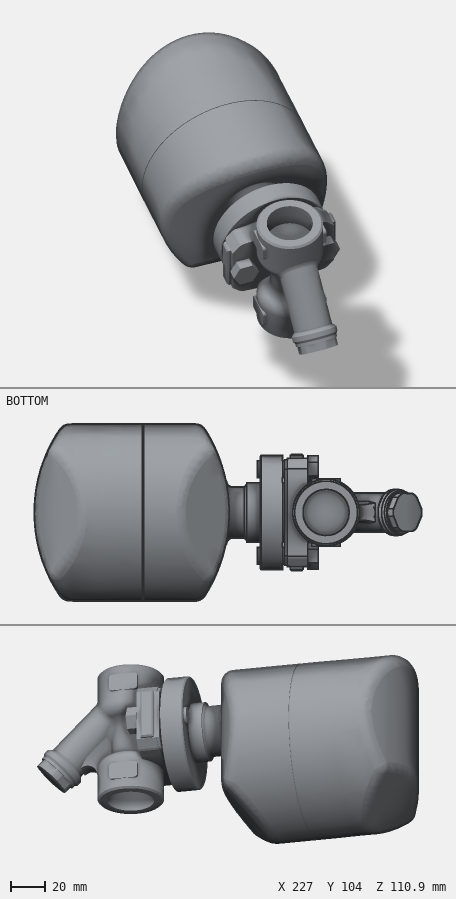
import cadquery as cq
import math


overall_length = 227.0

housing_length = 114.2
housing_radius = 52.0
housing_rear_radius = 51.8
housing_seam_x = 50.9
housing_drop = 19.0
rear_face_radius = 86.3
front_face_radius = 90.8
housing_chamfer = 27.7
housing_fillet = 7.7
groove_x = 63.3
groove_width = 0.7
groove_depth = 0.5

neck_radius = 30.0 / 2
neck_flare = 3.6
neck_start = 116.3
collar_radius = 35.0 / 2
collar_start = 124.5
collar_step = 1.4

flange_radius = 67.0 / 2
flange_start = 132.4
flange_end = 145.5
flange_chamfer = 0.7
bolt_radius = 10.0 / 2
bolt_spacing = 50.9
bolt_protrusion = 1.5
nut_across_flats = 13.6
nut_height = 6.1

plate_start = 148.3
plate_end = 160.3
gasket_thickness = 1.5
gasket_inset = 0.8
plate_ridge_height = 22.5
plate_shoulder_y = 25.7
plate_shoulder_z = 20.2
plate_bevel_y = 27.0
plate_bevel_z = 19.5
plate_side_y = 31.8
plate_side_z = 15.0
side_pad_width = 7.7
side_pad_height = 29.5
side_pad_chamfer = 1.0
side_pad_reach = 34.0
side_pad_start = 149.9

valve_x = 171.0
valve_radius = 39.0 / 2
valve_height = 79.7
valve_chamfer = 1.1
bore_radius = 27.0 / 2
bore_depth = 14.8
waist_radius = 23.0 / 2
waist_center_z = -2.0
waist_half_height = 6.5
shoulder_half_height = 18.8
shoulder_split = 0.55

pad_width = 16.8
pad_height = 10.2
pad_z = 28.4
pad_reach = 19.87
pad_corner = 1.8

branch_angle = 45.0
branch_z = 26.8
branch_radius = 23.0 / 2
bead_radius = 27.0 / 2
washer_radius = 25.0 / 2
bead_start = 54.5
bead_cone_end = 56.5
bead_end = 59.5
washer_start = 60.9
cap_start = 62.7
cap_radius = 11.8
cap_across_flats = 22.3
branch_fillet = 3.5
branch_tilt = math.radians(branch_angle)
branch_length = (overall_length - valve_x - cap_radius * math.sin(branch_tilt)) / math.cos(branch_tilt)

web_half_width = 4.5
web_root_half_width = 10.0
web_flare_depth = 16.3
web_depth = 31.8
crook_radius = 5.5


def cylinder_x(start, end, radius, y=0.0, z=0.0):
    return cq.Workplane("YZ", origin=(start, y, z)).circle(radius).extrude(end - start)


def hexagon_x(start, end, across_flats, y=0.0):
    """Hexagonal bar along X with two corners pointing along Y."""
    across_corners = across_flats / math.cos(math.pi / 6)
    return cq.Workplane("YZ", origin=(start, y, 0)).polygon(6, across_corners).extrude(end - start)


def make_housing():
    side_y = housing_radius + 2.3
    rear_x = rear_face_radius - math.sqrt(rear_face_radius**2 - side_y**2)
    front_sag = front_face_radius - math.sqrt(front_face_radius**2 - side_y**2)
    front_x = housing_length - front_sag
    plan = (
        cq.Workplane("XY", origin=(0, 0, -housing_drop - side_y))
        .moveTo(rear_x, -side_y)
        .lineTo(front_x, -side_y)
        .threePointArc((housing_length, 0), (front_x, side_y))
        .lineTo(rear_x, side_y)
        .threePointArc((0, 0), (rear_x, -side_y))
        .close()
        .extrude(2 * side_y)
    )
    barrel = (
        cq.Workplane("XY")
        .lineTo(0, housing_rear_radius)
        .lineTo(housing_seam_x, housing_radius)
        .lineTo(housing_length, housing_radius)
        .lineTo(housing_length, 0)
        .close()
        .revolve(360, (0, 0, 0), (1, 0, 0))
        .translate((0, 0, -housing_drop))
    )
    housing = barrel.intersect(plan)

    bottom_z = -housing_drop - housing_radius
    for end_x, inward in ((0, 1), (housing_length, -1)):
        wedge = (
            cq.Workplane("XZ")
            .moveTo(end_x, bottom_z + housing_chamfer)
            .lineTo(end_x + inward * housing_chamfer, bottom_z)
            .lineTo(end_x, bottom_z)
            .close()
            .extrude(side_y, both=True)
        )
        housing = housing.cut(wedge)
    housing = housing.edges("not(%CIRCLE or %LINE)").fillet(housing_fillet)

    groove_end = groove_x + groove_width
    groove = cylinder_x(groove_x, groove_end, housing_radius + 2.3, z=-housing_drop).cut(
        cylinder_x(groove_x, groove_end, housing_radius - groove_depth, z=-housing_drop)
    )
    return housing.cut(groove)


def make_stem():
    flare_start = neck_start - neck_flare
    arc_offset = neck_flare * (1 - math.sqrt(0.5))
    inside_x = housing_length / 2
    return (
        cq.Workplane("XY")
        .moveTo(inside_x, 0)
        .lineTo(inside_x, neck_radius + neck_flare)
        .lineTo(flare_start, neck_radius + neck_flare)
        .threePointArc((flare_start + arc_offset, neck_radius + arc_offset), (neck_start, neck_radius))
        .lineTo(collar_start - collar_step, neck_radius)
        .lineTo(collar_start, neck_radius + collar_step)
        .lineTo(collar_start, collar_radius)
        .lineTo(plate_start, collar_radius)
        .lineTo(plate_start, 0)
        .close()
        .revolve(360, (0, 0, 0), (1, 0, 0))
    )


def make_flange():
    flange = cylinder_x(flange_start, flange_end, flange_radius).edges("<X").chamfer(flange_chamfer)
    for y in (-bolt_spacing / 2, bolt_spacing / 2):
        bolt = cylinder_x(flange_start - bolt_protrusion, plate_end, bolt_radius, y=y)
        nut = hexagon_x(plate_end, plate_end + nut_height, nut_across_flats, y=y)
        flange = flange.union(bolt).union(nut)
    return flange


def make_clamp_plate():
    upper_right = [
        (plate_shoulder_y, plate_shoulder_z),
        (plate_bevel_y, plate_bevel_z),
        (plate_side_y, plate_side_z),
    ]
    upper_left = [(-y, z) for y, z in reversed(upper_right)]
    upper = upper_left + [(0, plate_ridge_height)] + upper_right
    lower = [(-y, -z) for y, z in upper]
    plate = (
        cq.Workplane("YZ", origin=(plate_start, 0, 0))
        .polyline(upper + lower)
        .close()
        .extrude(plate_end - plate_start)
    )

    gasket = (
        cq.Workplane("YZ", origin=(plate_start - gasket_thickness, 0, 0))
        .polyline(upper + lower)
        .close()
        .offset2D(-gasket_inset)
        .extrude(gasket_thickness)
    )
    side_pads = cq.Workplane("XY").box(side_pad_width, 2 * side_pad_reach, side_pad_height)
    side_pads = side_pads.faces("<Y or >Y").chamfer(side_pad_chamfer)
    side_pads = side_pads.translate((side_pad_start + side_pad_width / 2, 0, 0))
    return plate.union(gasket).union(side_pads)


def make_valve_pipe():
    def shoulder_points(side):
        rim = (valve_radius, waist_center_z + side * shoulder_half_height)
        foot = (waist_radius, waist_center_z + side * waist_half_height)
        middle = tuple(a + shoulder_split * (b - a) for a, b in zip(rim, foot))
        return rim, middle, foot

    top_rim, top_middle, top_foot = shoulder_points(1)
    bottom_rim, bottom_middle, bottom_foot = shoulder_points(-1)
    end_z = valve_height / 2
    pipe = (
        cq.Workplane("XZ")
        .moveTo(0, end_z)
        .lineTo(valve_radius, end_z)
        .lineTo(*top_rim)
        .tangentArcPoint(top_middle, relative=False)
        .tangentArcPoint(top_foot, relative=False)
        .lineTo(*bottom_foot)
        .tangentArcPoint(bottom_middle, relative=False)
        .tangentArcPoint(bottom_rim, relative=False)
        .lineTo(valve_radius, -end_z)
        .lineTo(0, -end_z)
        .close()
        .revolve(360, (0, 0, 0), (0, 1, 0))
    )
    return pipe.edges("<Z or >Z").chamfer(valve_chamfer).translate((valve_x, 0, 0))


def make_pads():
    pads = cq.Workplane("XY")
    for z in (-pad_z, pad_z):
        bar = cq.Workplane("XY").box(pad_width, 2 * pad_reach, pad_height).edges("|Y").fillet(pad_corner)
        pads = pads.add(bar.translate((valve_x, 0, z)))
    return pads.combine()


def slant(shape):
    """Swing a shape built along +X down onto the branch axis."""
    return shape.rotate((0, 0, 0), (0, 1, 0), branch_angle).translate((valve_x, 0, branch_z))


def make_branch_end():
    bead = (
        cq.Workplane("XY")
        .moveTo(bead_start, 0)
        .lineTo(bead_start, branch_radius)
        .lineTo(bead_cone_end, bead_radius)
        .lineTo(bead_end, bead_radius)
        .lineTo(washer_start, washer_radius)
        .lineTo(cap_start, washer_radius)
        .lineTo(cap_start, 0)
        .close()
        .revolve(360, (0, 0, 0), (1, 0, 0))
    )
    flats = hexagon_x(cap_start, branch_length, cap_across_flats).rotate((0, 0, 0), (1, 0, 0), 30)
    cap = cylinder_x(cap_start, branch_length, cap_radius).intersect(flats)
    return slant(bead.union(cap))


def make_web():
    pipe_side = valve_x + valve_radius
    crook_x = pipe_side + crook_radius
    gap = branch_radius + crook_radius
    crook_z = branch_z - (crook_x - valve_x) * math.tan(branch_tilt) - gap / math.cos(branch_tilt)

    def crook_point(angle):
        return crook_x + crook_radius * math.cos(angle), crook_z + crook_radius * math.sin(angle)

    branch_touch = math.pi / 2 - branch_tilt
    axis_offset = branch_radius * math.sin(branch_tilt)
    side_outline = (
        cq.Workplane("XZ")
        .moveTo(valve_x, crook_z)
        .lineTo(pipe_side, crook_z)
        .threePointArc(crook_point((math.pi + branch_touch) / 2), crook_point(branch_touch))
        .lineTo(valve_x + axis_offset, branch_z - axis_offset)
        .lineTo(valve_x, branch_z - axis_offset)
        .close()
        .extrude(web_root_half_width, both=True)
    )

    root_depth = math.sqrt(branch_radius**2 - web_root_half_width**2)
    half_section = (
        cq.Workplane("YZ")
        .moveTo(0, -web_depth)
        .lineTo(web_half_width, -web_depth)
        .lineTo(web_half_width, -web_flare_depth)
        .tangentArcPoint((web_root_half_width, -root_depth), relative=False)
        .lineTo(0, -root_depth)
        .close()
        .extrude(bead_start)
    )
    flared_bar = slant(half_section.mirror("XZ", union=True))
    return side_outline.intersect(flared_bar)


def make_valve():
    pipe = make_valve_pipe().union(slant(cylinder_x(0, bead_start, branch_radius)))
    junction_top = cq.selectors.BoxSelector(
        (valve_x, -valve_radius, 0),
        (valve_x + 2 * valve_radius, valve_radius, branch_z),
    )
    pipe = pipe.edges("not(%CIRCLE or %LINE)").edges(junction_top).fillet(branch_fillet)
    return pipe.union(make_web())


def make_bores():
    bores = cq.Workplane("XY")
    for floor_z in (valve_height / 2 - bore_depth, -valve_height / 2):
        bore = cq.Workplane("XY", origin=(valve_x, 0, floor_z)).circle(bore_radius).extrude(bore_depth)
        bores = bores.add(bore)
    return bores.combine()


result = make_housing()
for feature in (make_stem(), make_flange(), make_clamp_plate(), make_valve(), make_pads(), make_branch_end()):
    result = result.union(feature)
result = result.cut(make_bores())